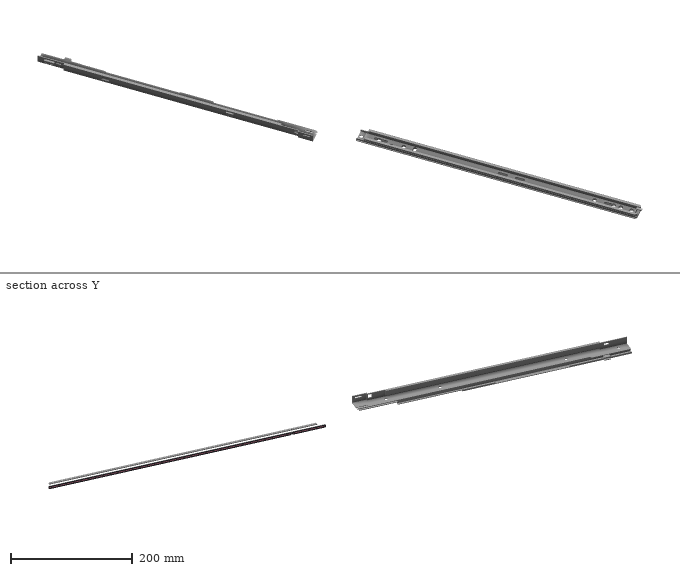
import cadquery as cq


SHEET = 1.3
REACH = 105.0

DRAWER_LENGTH = 488.0
DRAWER_TOP = 23.0
SHELF_TOP = 10.0
SHELF_BOTTOM = SHELF_TOP - SHEET
WALL_FRONT = 2.6
HEM_INNER = 7.0
HEM_OUTER = HEM_INNER - SHEET
HEM_START = 47.0
HEM_END = 430.0
HEM_BOTTOM = 14.0
END_PAD_START = 462.0

WEB_FRONT = 21.0
WEB_BACK = WEB_FRONT + SHEET
LOWER_BOTTOM = 3.0
LOWER_TOP = LOWER_BOTTOM + SHEET
LOWER_END = 417.0
NARROW_BACK = 25.0
WIDE_BACK = 28.0
WIDE_END = 302.0
WIDE_SHELF_END = 71.0
EDGE_LIP_TOP = 6.0
EDGE_LIP_SPANS = ((0, 111.0), (243.0, WIDE_END))
TAB_X = (39.0, 50.0)
TAB_BACK = 31.0

FRONT_LUG_X = (13.0, 30.0)
MIDDLE_LUG_X = (335.0, 347.0)
LUG_Z = (14.0, 20.0)
OUTER_SHEET_WINDOWS = (
    ((15.0, 18.0), (15.0, 19.0)),
    ((23.0, 27.0), (15.0, 19.0)),
    ((114.0, 127.0), (14.0, 20.0)),
)
THROUGH_WINDOWS = (
    ((33.0, 41.0), (17.0, 20.0)),
    ((454.0, 461.0), (15.0, 21.0)),
    ((471.0, 483.0), (18.0, 20.0)),
)
SHELF_HOLE_DIAMETER = 5.0
SHELF_HOLES = ((18.0, 15.0), (111.0, 14.0), (336.0, 13.0), (432.0, 13.0))
END_SLOT_X = (467.0, 483.0)
END_SLOT_Y = (17.0, 19.0)
END_RECESS = 3.0
END_RECESS_Y = (18.0, 21.0)

CABINET_START = 551.0
RUNNER_END = 1046.0
CABINET_FRONT = 35.0
CABINET_BACK = 58.0
CABINET_HEIGHT = 4.7
CABINET_WALL_INSET = 1.6
END_CHAMFER = 3.0
TONGUE_HOLE = (556.0, 46.0)
TONGUE_HOLE_DIAMETER = 6.0

MIDDLE_START = 561.0
MIDDLE_FRONT = 35.0
MIDDLE_BACK = 60.0
MIDDLE_TOP = 10.0
MIDDLE_BOTTOM = 6.8
PLATE_TOP = 4.0
PLATE_Y = (39.0, 54.0)
BACK_BEND = 3.0
END_STOP_X = 1040.0
END_STOP_TOP = 8.0
START_SLOPE = 5.0
END_TONGUE_TIP = 1049.0
END_TONGUE_Y = (49.0, 54.0)

HOLE_LINE = 47.0
SCREW_HOLE_DIAMETER = 7.0
SCREW_HOLES_X = (587.0, 631.0, 968.0, 1001.0, 1014.0, 1033.0)
SIDE_HOLE = (612.0, 41.0)
CROSS_SLOT_X = 650.0
CROSS_SLOT_LENGTH = 12.0
CROSS_SLOT_WIDTH = 6.0
PLATE_SLOT_WIDTH = 5.0
PLATE_SLOTS_X = ((578.0, 602.0), (797.0, 814.0), (827.0, 845.0), (984.0, 1002.0))


def box(x, y, z):
    """Block between (low, high) limits on each axis."""
    sizes = [high - low for low, high in (x, y, z)]
    return cq.Workplane("XY").box(*sizes, centered=False).translate((x[0], y[0], z[0]))


def upright_holes(points, diameter):
    """Vertical cylinders that drill through everything at the given (X, Y) points."""
    return cq.Workplane("XY").pushPoints(points).circle(diameter / 2).extrude(REACH)


def drawer_wall():
    """Upright wall: set back at the start, hemmed along the middle, pushed out at the end."""
    full_height = (SHELF_BOTTOM, DRAWER_TOP)
    roof = (DRAWER_TOP - SHEET, DRAWER_TOP)
    wall = box((0, HEM_START), (HEM_OUTER, HEM_INNER), full_height)
    wall = wall.union(box((HEM_START, END_PAD_START + SHEET), (WALL_FRONT, WALL_FRONT + SHEET), full_height))
    wall = wall.union(box((HEM_START, HEM_END), (WALL_FRONT, HEM_INNER), roof))
    wall = wall.union(box((HEM_START - SHEET, HEM_END), (HEM_OUTER, HEM_INNER), (HEM_BOTTOM, DRAWER_TOP)))
    wall = wall.union(box((HEM_START, HEM_START + SHEET), (WALL_FRONT, HEM_INNER), full_height))
    wall = wall.union(box((END_PAD_START, END_PAD_START + SHEET), (0, WALL_FRONT + SHEET), full_height))
    wall = wall.union(box((END_PAD_START, DRAWER_LENGTH), (0, SHEET), full_height))
    wall = wall.union(box(FRONT_LUG_X, (WALL_FRONT, HEM_INNER), LUG_Z))
    return wall.union(box(MIDDLE_LUG_X, (0, WALL_FRONT + SHEET), LUG_Z))


def drawer_shelf():
    """Horizontal shelf, with its holes, end slot, and the tab and end strip one sheet lower."""
    thickness = (SHELF_BOTTOM, SHELF_TOP)
    shelf = box((0, HEM_START), (HEM_OUTER, WEB_BACK), thickness)
    shelf = shelf.union(box((HEM_START, DRAWER_LENGTH), (WALL_FRONT, WEB_BACK), thickness))
    shelf = shelf.union(box((END_PAD_START, DRAWER_LENGTH), (0, WEB_BACK), thickness))
    shelf = shelf.union(box((0, WIDE_SHELF_END), (WEB_FRONT, NARROW_BACK), thickness))
    for span, back in (((LOWER_END, DRAWER_LENGTH - END_RECESS), NARROW_BACK), (TAB_X, TAB_BACK)):
        shelf = shelf.union(box(span, (WEB_FRONT, back), (SHELF_BOTTOM - SHEET, SHELF_BOTTOM)))
    shelf = shelf.cut(upright_holes(SHELF_HOLES, SHELF_HOLE_DIAMETER))
    shelf = shelf.cut(box(END_SLOT_X, END_SLOT_Y, thickness))
    return shelf.cut(box((DRAWER_LENGTH - END_RECESS, DRAWER_LENGTH), END_RECESS_Y, thickness))


def drawer_lower_flange():
    """Web below the shelf and the flange at its foot, with the upturned lip and tab."""
    thickness = (LOWER_BOTTOM, LOWER_TOP)
    flange = box((0, LOWER_END), (WEB_FRONT, WEB_BACK), (LOWER_BOTTOM, SHELF_TOP))
    flange = flange.union(box((0, LOWER_END), (WEB_FRONT, NARROW_BACK), thickness))
    flange = flange.union(box((0, WIDE_END), (WEB_FRONT, WIDE_BACK), thickness))
    for span in EDGE_LIP_SPANS:
        flange = flange.union(box(span, (NARROW_BACK, WIDE_BACK), (LOWER_BOTTOM, EDGE_LIP_TOP)))
    return flange.union(box(TAB_X, (WEB_FRONT, TAB_BACK), thickness))


def make_drawer_rail():
    rail = drawer_wall().union(drawer_shelf()).union(drawer_lower_flange())
    for x, z in OUTER_SHEET_WINDOWS:
        rail = rail.cut(box(x, (0, WALL_FRONT + SHEET), z))
    for x, z in THROUGH_WINDOWS:
        rail = rail.cut(box(x, (0, HEM_INNER), z))
    return rail


def runner_holes():
    """Screw holes and the cross slot that pass through both runner rails."""
    points = [(x, HOLE_LINE) for x in SCREW_HOLES_X]
    holes = upright_holes(points + [SIDE_HOLE], SCREW_HOLE_DIAMETER)
    cross_slot = (
        cq.Workplane("XY")
        .center(CROSS_SLOT_X, HOLE_LINE)
        .slot2D(CROSS_SLOT_LENGTH, CROSS_SLOT_WIDTH, 90)
        .extrude(REACH)
    )
    return holes.union(cross_slot)


def end_corner_cutter(front, back):
    """Wedges that bevel the two upright corners at the far end of a runner rail."""
    wedges = cq.Workplane("XY")
    for edge, inward in ((front, 1), (back, -1)):
        wedges = wedges.polyline([
            (RUNNER_END, edge),
            (RUNNER_END - END_CHAMFER, edge),
            (RUNNER_END, edge + inward * END_CHAMFER),
        ]).close()
    return wedges.extrude(REACH)


def make_cabinet_rail():
    """Upward channel whose floor sticks out in front of its front wall."""
    length = (CABINET_START, RUNNER_END)
    wall_front = CABINET_FRONT + CABINET_WALL_INSET
    rail = box(length, (CABINET_FRONT, CABINET_BACK), (0, SHEET))
    rail = rail.union(box(length, (wall_front, wall_front + SHEET), (0, CABINET_HEIGHT)))
    rail = rail.union(box(length, (CABINET_BACK - SHEET, CABINET_BACK), (0, CABINET_HEIGHT)))
    rail = rail.cut(upright_holes([TONGUE_HOLE], TONGUE_HOLE_DIAMETER))
    return rail.cut(runner_holes()).cut(end_corner_cutter(CABINET_FRONT, CABINET_BACK))


def middle_rail_block(inset):
    """Solid bar with a rounded back top edge, its sides and top moved inwards by the inset."""
    sides = (MIDDLE_FRONT + inset, MIDDLE_BACK - inset)
    bar = box((MIDDLE_START, RUNNER_END), sides, (MIDDLE_BOTTOM, MIDDLE_TOP - inset))
    return bar.edges("|X and >Y and >Z").fillet(BACK_BEND - inset)


def middle_rail_blank():
    """Sunken plate between two hollow rims, the back rim wider than the front one."""
    length = (MIDDLE_START, RUNNER_END)
    plate_front, plate_back = PLATE_Y
    trough_outside = (plate_front - SHEET, plate_back + SHEET)
    shell = middle_rail_block(0).cut(middle_rail_block(SHEET))
    trough = box(length, trough_outside, (PLATE_TOP - SHEET, MIDDLE_TOP))
    return shell.union(trough).cut(box(length, PLATE_Y, (PLATE_TOP, MIDDLE_TOP)))


def plate_slots():
    """Lengthwise slots that pierce only the middle rail."""
    slots = cq.Workplane("XY")
    for start, end in PLATE_SLOTS_X:
        middle = ((start + end) / 2, HOLE_LINE)
        slots = slots.pushPoints([middle]).slot2D(end - start, PLATE_SLOT_WIDTH)
    return slots.extrude(REACH)


def start_slope():
    """Wedge that slants the start of the middle rail back towards its top."""
    return (
        cq.Workplane("XZ")
        .polyline([
            (MIDDLE_START, PLATE_TOP - SHEET),
            (MIDDLE_START + START_SLOPE, MIDDLE_TOP),
            (MIDDLE_START, MIDDLE_TOP),
        ])
        .close()
        .extrude(-REACH)
    )


def make_middle_rail():
    rail = middle_rail_blank().cut(start_slope()).cut(plate_slots()).cut(runner_holes())
    rail = rail.cut(end_corner_cutter(MIDDLE_FRONT, MIDDLE_BACK))
    rail = rail.union(box((END_STOP_X, END_STOP_X + SHEET), PLATE_Y, (PLATE_TOP, END_STOP_TOP)))
    return rail.union(box((END_STOP_X, END_TONGUE_TIP), END_TONGUE_Y, (END_STOP_TOP - SHEET, END_STOP_TOP)))


drawer_rail = make_drawer_rail()
cabinet_rail = make_cabinet_rail()
middle_rail = make_middle_rail()

result = cq.Compound.makeCompound([drawer_rail.val(), cabinet_rail.val(), middle_rail.val()])